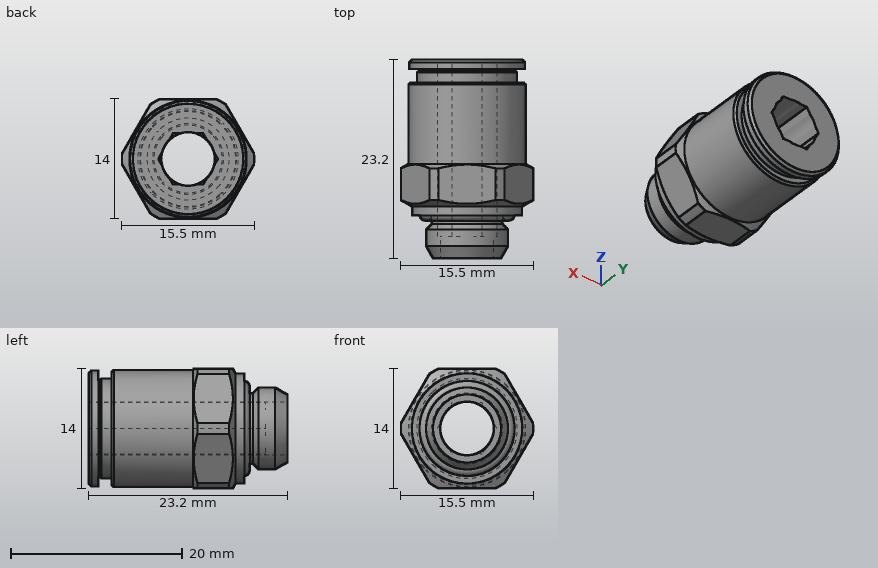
import cadquery as cq
import math

nose_end = 1.45
thread_end = 3.4
groove_start = 4.05
flange_start = 5.05
hex_start = 6.07
hex_end = 11.05
body_end = 20.58
collar_end = 21.9
ring_start = 22.1
length = 23.25

bore_radius = 3.12
nose_radius = 3.98
thread_radius = 4.8
groove_radius = 4.15
flange_radius = 6.45
body_radius = 6.85
collar_radius = 5.85
ring_groove_radius = 5.65
ring_radius = 6.8

body_bevel = 0.28
collar_bevel = 0.19
ring_bevel = 0.35

hex_width = 14.0
hex_corner_radius = 7.75
hex_chamfer_angle = 30

seal_outer_radius = 5.55
seal_section_radius = (seal_outer_radius - groove_radius) / 2
seal_center_radius = groove_radius + seal_section_radius
seal_center = 5.12

socket_width = 6.02
socket_start = 2.58


def revolve_profile(points):
    """Revolve a closed (radius, y) outline about the Y axis."""
    return cq.Workplane("XY").polyline(points).close().revolve(360, (0, 0, 0), (0, 1, 0))


def hex_prism(width, start, end):
    """Hexagonal prism along Y with two corners on the X axis."""
    across_corners = width / math.cos(math.radians(30))
    plane = cq.Workplane("XZ", origin=(0, start, 0))
    return plane.polygon(6, across_corners).extrude(start - end)


def turned_body():
    return revolve_profile([
        (0, 0),
        (nose_radius, 0),
        (thread_radius, nose_end),
        (thread_radius, thread_end),
        (groove_radius, groove_start),
        (groove_radius, flange_start),
        (flange_radius, flange_start),
        (flange_radius, hex_start),
        (body_radius, hex_end),
        (body_radius, body_end - body_bevel),
        (body_radius - body_bevel, body_end),
        (collar_radius, body_end),
        (collar_radius, collar_end - collar_bevel),
        (ring_groove_radius, collar_end),
        (ring_groove_radius, ring_start),
        (ring_radius, ring_start),
        (ring_radius, length - ring_bevel),
        (ring_radius - ring_bevel, length),
        (0, length),
    ])


def hex_nut():
    """Hexagon trimmed by a cylinder with a conical chamfer at each end."""
    slope = math.tan(math.radians(hex_chamfer_angle))
    front_chamfer = (hex_corner_radius - flange_radius) * slope
    rear_chamfer = (hex_corner_radius - body_radius) * slope
    envelope = revolve_profile([
        (0, hex_start),
        (flange_radius, hex_start),
        (hex_corner_radius, hex_start + front_chamfer),
        (hex_corner_radius, hex_end - rear_chamfer),
        (body_radius, hex_end),
        (0, hex_end),
    ])
    return hex_prism(hex_width, hex_start, hex_end).intersect(envelope)


def seal_ring():
    section = cq.Workplane("XY").center(seal_center_radius, seal_center).circle(seal_section_radius)
    return section.revolve(360, (-seal_center_radius, 0, 0), (-seal_center_radius, 1, 0))


def bore():
    return cq.Workplane("XZ").circle(bore_radius).extrude(-length)


socket = hex_prism(socket_width, socket_start, length)

result = turned_body().union(hex_nut()).union(seal_ring()).cut(bore()).cut(socket)